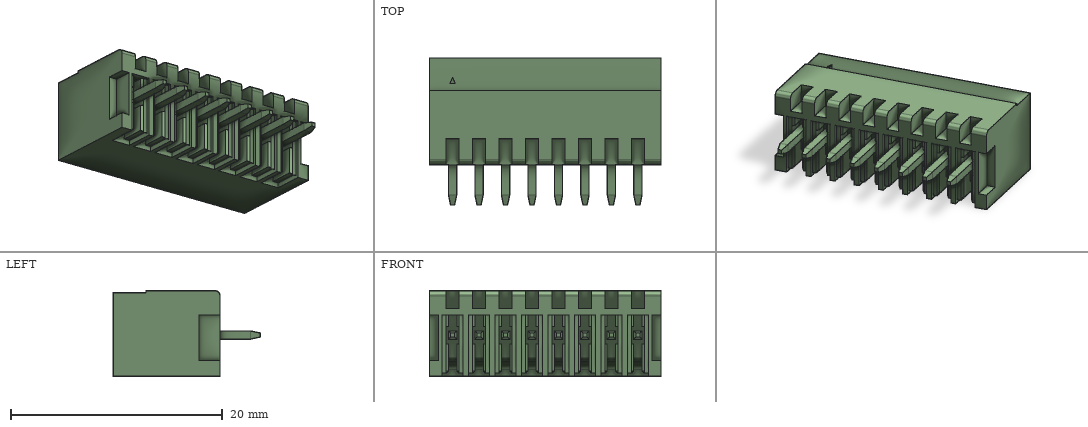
import cadquery as cq
import math

PIN_COUNT = 8
PITCH = 2.5

LENGTH = 21.9
DEPTH = 10.1
HEIGHT = 8.1
FRONT_EDGE_RADIUS = 0.5
REAR_STEP_LENGTH = 3.1
REAR_STEP_DROP = 0.2

PIN_SIZE = 0.8
PIN_TIP_SIZE = 0.4
PIN_LENGTH = 3.8
PIN_TAPER_LENGTH = 0.95
PIN_Z = 3.9

NOTCH_WIDTH = 1.2
NOTCH_HEIGHT = 1.7
NOTCH_TOP_DEPTH = 2.5
NOTCH_FLOOR_DEPTH = 2.44

BAY_WIDTH = 2.0
BAY_DEPTH = 0.35
BAY_ROOF_THICKNESS = 2.3
BAY_TOP_Z = HEIGHT - BAY_ROOF_THICKNESS

GROOVE_WIDTH = 0.8
FLARE = 0.2
MOUTH_WIDTH = GROOVE_WIDTH + 2 * FLARE
GROOVE_BACK_Y = 2.0

PIN_POCKET_HEIGHT = 1.65

UNDERCUT_FRONT_Z = 0.3
UNDERCUT_Z = UNDERCUT_FRONT_Z + FLARE

CURVE_TOP_Z = 1.8
LIP_RADIUS = 0.3
COVE_RADIUS = 0.85
UNDERCUT_BACK_Y = GROOVE_BACK_Y + LIP_RADIUS + COVE_RADIUS

END_POCKET_WIDTH = 0.85
END_POCKET_DEPTH = 2.0
END_POCKET_BOTTOM_Z = 1.5

MARK_WIDTH = 0.5
MARK_LENGTH = 0.55
MARK_TO_REAR = 1.85
MARK_TIP_Y = DEPTH - MARK_TO_REAR
MARK_ENGRAVING = 0.1

PIN_XS = [(i - (PIN_COUNT - 1) / 2) * PITCH for i in range(PIN_COUNT)]


def box(x_range, y_range, z_range):
    """Block between the given lower and upper limits on each axis."""
    (x0, x1), (y0, y1), (z0, z1) = x_range, y_range, z_range
    return cq.Workplane("XY").box(x1 - x0, y1 - y0, z1 - z0, centered=False).translate((x0, y0, z0))


def across(width):
    """X limits of a feature of this width, centred on x = 0."""
    return (-width / 2, width / 2)


def side_profile(width, outline):
    """Extrude a closed outline, drawn on a YZ workplane, evenly about x = 0."""
    return outline.close().extrude(width / 2, both=True)


def make_housing():
    step_y = DEPTH - REAR_STEP_LENGTH
    rear_z = HEIGHT - REAR_STEP_DROP
    outline = (
        cq.Workplane("YZ")
        .lineTo(DEPTH, 0)
        .lineTo(DEPTH, rear_z)
        .lineTo(step_y, rear_z)
        .lineTo(step_y, HEIGHT)
        .lineTo(FRONT_EDGE_RADIUS, HEIGHT)
        .radiusArc((0, HEIGHT - FRONT_EDGE_RADIUS), -FRONT_EDGE_RADIUS)
    )
    return side_profile(LENGTH, outline)


def make_notch():
    floor_z = HEIGHT - NOTCH_HEIGHT
    outline = (
        cq.Workplane("YZ")
        .moveTo(0, floor_z)
        .lineTo(NOTCH_FLOOR_DEPTH, floor_z)
        .lineTo(NOTCH_TOP_DEPTH, HEIGHT)
        .lineTo(0, HEIGHT)
    )
    return side_profile(NOTCH_WIDTH, outline)


def make_groove():
    """Groove with its rear wall curving back, over a lip and a cove, near the bottom."""
    lip_z = CURVE_TOP_Z - LIP_RADIUS
    cove_z = lip_z - COVE_RADIUS
    outline = (
        cq.Workplane("YZ")
        .moveTo(0, BAY_TOP_Z)
        .lineTo(GROOVE_BACK_Y, BAY_TOP_Z)
        .lineTo(GROOVE_BACK_Y, CURVE_TOP_Z)
        .radiusArc((GROOVE_BACK_Y + LIP_RADIUS, lip_z), -LIP_RADIUS)
        .radiusArc((UNDERCUT_BACK_Y, cove_z), COVE_RADIUS)
        .lineTo(UNDERCUT_BACK_Y, 0)
        .lineTo(0, 0)
    )
    return side_profile(GROOVE_WIDTH, outline)


def make_flare():
    """Wedge that widens the groove toward the bay."""
    flare_end_y = BAY_DEPTH + FLARE
    mouth = MOUTH_WIDTH / 2
    throat = GROOVE_WIDTH / 2
    corners = [(-mouth, BAY_DEPTH), (mouth, BAY_DEPTH), (throat, flare_end_y), (-throat, flare_end_y)]
    return cq.Workplane("XY").polyline(corners).close().extrude(BAY_TOP_Z)


def make_undercut():
    outline = (
        cq.Workplane("YZ")
        .lineTo(UNDERCUT_BACK_Y, 0)
        .lineTo(UNDERCUT_BACK_Y, UNDERCUT_Z)
        .lineTo(BAY_DEPTH + FLARE, UNDERCUT_Z)
        .lineTo(BAY_DEPTH, UNDERCUT_FRONT_Z)
        .lineTo(0, UNDERCUT_FRONT_Z)
    )
    return side_profile(BAY_WIDTH, outline)


def make_pin_pocket():
    z_range = (PIN_Z - PIN_POCKET_HEIGHT / 2, PIN_Z + PIN_POCKET_HEIGHT / 2)
    return box(across(MOUTH_WIDTH), (0, GROOVE_BACK_Y), z_range)


def make_position_cut():
    """Everything removed from the housing at one pin position."""
    bay = box(across(BAY_WIDTH), (0, BAY_DEPTH), (0, BAY_TOP_Z))
    cut = bay.union(make_groove()).union(make_flare()).union(make_undercut())
    return cut.union(make_pin_pocket()).union(make_notch())


def make_end_pocket():
    """Pocket in the -X end face, open to the front."""
    x_range = (-LENGTH / 2, -LENGTH / 2 + END_POCKET_WIDTH)
    return box(x_range, (0, END_POCKET_DEPTH), (END_POCKET_BOTTOM_Z, BAY_TOP_Z))


def make_pin():
    """Square pin rooted in the housing behind its pocket, with a pyramidal tip."""
    taper_start_y = PIN_TAPER_LENGTH - PIN_LENGTH
    z_range = (PIN_Z - PIN_SIZE / 2, PIN_Z + PIN_SIZE / 2)
    shank = box(across(PIN_SIZE), (taper_start_y, UNDERCUT_BACK_Y), z_range)
    taper_angle = math.degrees(math.atan((PIN_SIZE - PIN_TIP_SIZE) / 2 / PIN_TAPER_LENGTH))
    tip = (
        cq.Workplane("XZ", origin=(0, taper_start_y, PIN_Z))
        .rect(PIN_SIZE, PIN_SIZE)
        .extrude(PIN_TAPER_LENGTH, taper=taper_angle)
    )
    return shank.union(tip)


def make_mark():
    base_y = MARK_TIP_Y - MARK_LENGTH
    surface_z = HEIGHT - REAR_STEP_DROP
    corners = [(-MARK_WIDTH / 2, base_y), (MARK_WIDTH / 2, base_y), (0, MARK_TIP_Y)]
    triangle = cq.Workplane("XY", origin=(0, 0, surface_z)).polyline(corners).close()
    return triangle.extrude(-MARK_ENGRAVING).translate((PIN_XS[0], 0, 0))


end_pocket = make_end_pocket()
position_cut = make_position_cut()
pin = make_pin()

result = make_housing().cut(end_pocket).cut(end_pocket.mirror("YZ")).cut(make_mark())
for pin_x in PIN_XS:
    result = result.cut(position_cut.translate((pin_x, 0, 0)))
for pin_x in PIN_XS:
    result = result.union(pin.translate((pin_x, 0, 0)))